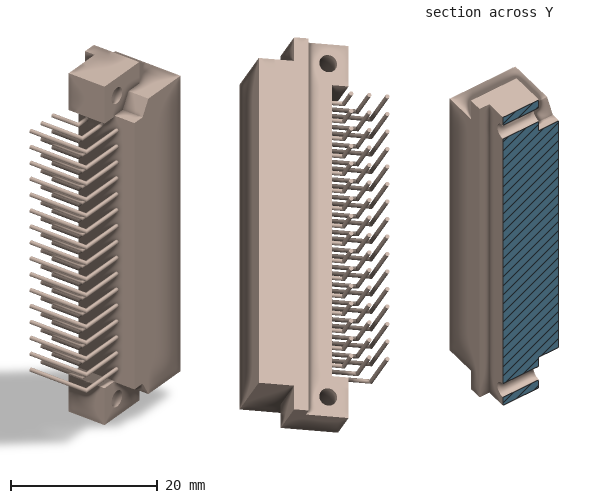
import cadquery as cq
import math


length = 54.0
housing_width = 11.0
plug_length = 47.15
housing_front_y = -10.7

key_start_y = -7.45
key_step = 2.3
key_angle = 60.0

flange_width = 7.65
flange_back_y = -4.95
ear_front_y = -13.0
ear_length = 5.9

rebate_depth = 1.6
rebate_start_y = -7.0

hole_diameter = 2.5
hole_y = -10.15
hole_end_distance = 2.8

pitch = 2.55
rows = 3
pins_per_row = 16
pin_diameter = 0.6
pin_tip_x = -1.35
outer_bend_x = 8.05
outer_bend_y = -18.05 + pin_diameter / 2
pin_embed = 0.55


def box(x_range, y_range, z_range):
    """Block spanning the given (low, high) limits."""
    limits = (x_range, y_range, z_range)
    sizes = [high - low for low, high in limits]
    corner = tuple(low for low, high in limits)
    return cq.Workplane("XY").box(*sizes, centered=False).translate(corner)


def plug_body():
    """Full-width prism whose ends slant in toward the contact side."""
    end_z = plug_length / 2
    narrow_z = end_z - key_step
    key_end_y = key_start_y - key_step / math.tan(math.radians(key_angle))
    outline = [
        (0, end_z),
        (key_start_y, end_z),
        (key_end_y, narrow_z),
        (housing_front_y, narrow_z),
        (housing_front_y, -narrow_z),
        (key_end_y, -narrow_z),
        (key_start_y, -end_z),
        (0, -end_z),
    ]
    return cq.Workplane("YZ").polyline(outline).close().extrude(housing_width)


def mounting_flange():
    """Full-length flange with an ear block projecting at each end."""
    width = (0, flange_width)
    end_z = length / 2
    ear_z = end_z - ear_length
    flange = box(width, (ear_front_y, flange_back_y), (-end_z, end_z))
    gap = box(width, (ear_front_y, housing_front_y), (-ear_z, ear_z))
    return flange.cut(gap)


def edge_rebate():
    """Step removed along the whole -X front edge."""
    return box((0, rebate_depth), (ear_front_y, rebate_start_y), (-length / 2, length / 2))


def mounting_holes():
    """Cylinders through both ears along X."""
    hole_z = length / 2 - hole_end_distance
    return (
        cq.Workplane("YZ")
        .pushPoints([(hole_y, hole_z), (hole_y, -hole_z)])
        .circle(hole_diameter / 2)
        .extrude(flange_width)
    )


def contact(row):
    """Round pin with a mitred right-angle bend, at Z = 0; row 0 is the outermost."""
    bend_x = outer_bend_x - row * pitch
    bend_y = outer_bend_y + row * pitch
    start_y = housing_front_y + pin_embed
    path = cq.Workplane("XY").polyline([(bend_x, start_y), (bend_x, bend_y), (pin_tip_x, bend_y)])
    return (
        cq.Workplane("XZ", origin=(bend_x, start_y, 0))
        .circle(pin_diameter / 2)
        .sweep(path, transition="right")
    )


housing = plug_body().union(mounting_flange()).cut(edge_rebate()).cut(mounting_holes())

contacts = []
for row in range(rows):
    pin = contact(row)
    for index in range(pins_per_row):
        pin_z = (index - (pins_per_row - 1) / 2) * pitch
        contacts.append(pin.translate((0, 0, pin_z)).val())

result = cq.Workplane(housing.val().fuse(*contacts))